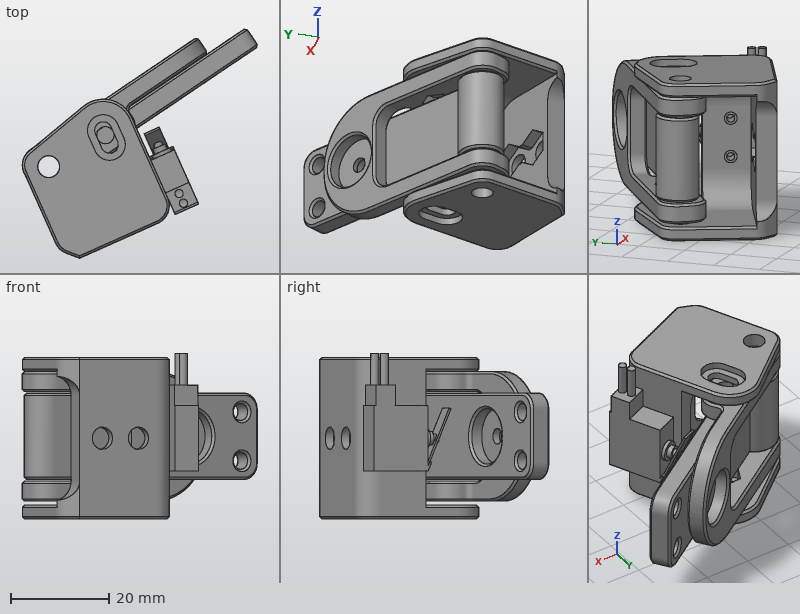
import cadquery as cq
import math

HOUSING_ANGLE = 24.1
ARM_ANGLE = 34.0

BEND_RADIUS = 3.9
EDGE_CHAMFER = 0.5
BARREL_RADIUS = 4.95
PIN_HOLE_DIAMETER = 4.4
PIVOT_HOLE_DIAMETER = 3.5
LEAF_MID_Z = 0.4

HOUSING_HEIGHT = 32.9
HOUSING_LEFT = -5.05
HOUSING_SIDE = 19.5
HOUSING_FRONT = -19.6
FLANGE_INNER_Z = 13.55
FRONT_WALL_INNER = -15.3
SIDE_WALL_INNER = 16.0
SIDE_WALL_END = -5.4
SIDE_WALL_FILLET = 6.9
HINGE_CORNER_RADIUS = 3.55
HINGE_CORNER_PLACE = 1.05
SLOT_CORNER_RADIUS = 6.35
NOTCH_END = -1.85
CORNER_CUT = NOTCH_END - HOUSING_LEFT
NOTCH_HALF_HEIGHT = 12.65

SLOT_CENTRE = (13.15, 0.6)
SLOT_HALF_TRAVEL = 1.6
SLOT_RECESS_WIDTH = 6.4
SLOT_RECESS_DEPTH = 1.45

MOUNT_HOLE_DIAMETER = 4.5
MOUNT_HOLE_FIRST = 3.2
MOUNT_HOLE_SPACING = 8.05
MOUNT_NUT_CORNERS = 8.05
NUT_DEPTH = 2.5
BOSS_HOLE_DIAMETER = 2.6
BOSS_HOLE_SPACING = 8.05
BOSS_HOLE_PLACE = -11.2

YOKE_HALF_HEIGHT = FLANGE_INNER_Z - LEAF_MID_Z
YOKE_HALF_WIDTH = BARREL_RADIUS
YOKE_END = 39.75
YOKE_END_RADIUS = 12.6
YOKE_BACK = 1.0
EAR_END = 19.8
EAR_INNER_FILLET = 1.2
OPENING_HALF_HEIGHT = 9.1
OPENING_END = 25.35
OPENING_CORNER_RADIUS = 3.5
PIVOT_HOLE_CENTRE = (13.15, -1.15)
PIVOT_NUT_CORNERS = 6.7

LEAF_HALF_HEIGHT = 8.8
LEAF_FRONT = 0.95
LEAF_BACK = -3.6
LEAF_END = 49.1
LEAF_CORNER_RADIUS = 3.35
LEAF_HOLE_DIAMETER = 3.5
LEAF_HOLE_PLACE = 44.95
LEAF_HOLE_SPACING = 9.95

MAGNET_DIAMETER = 11.35
MAGNET_PLACE = 32.25
MAGNET_DEPTH = 2.9
MAGNET_SCREW_DIAMETER = 3.15

SWITCH_WIDTH = 5.25
SWITCH_HALF_HEIGHT = 6.65
SWITCH_FRONT = -19.4
SWITCH_BACK = -7.3
TERMINAL_FRONT = -18.95
TERMINAL_BACK = -14.58
TERMINAL_TOP = 10.8
LEAD_DIAMETER = 1.65
LEAD_TOP = 17.25
LEAD_PLACES = ((22.0, -15.8), (22.0, -17.95))
LEAD_RECESS_DEPTH = 0.15
PLUNGER_STEPS = ((2.1, -6.55), (1.4, -5.45), (0.9, -4.1))
BOSS_BORE_DIAMETER = 1.62
LEVER_WIDTH = 3.35
LEVER_TOP_Z = 5.95
LEVER_TIP = -1.8
LEVER_THICKNESS = 0.45
LEVER_BASE_LENGTH = 0.75


def point_on_circle(centre, radius, angle):
    return (
        centre[0] + radius * math.cos(angle),
        centre[1] + radius * math.sin(angle),
    )


def box(x_range, y_range, z_range):
    """A box between the given limits along each axis."""
    size = [high - low for low, high in (x_range, y_range, z_range)]
    corner = (x_range[0], y_range[0], z_range[0])
    return cq.Workplane("XY").box(*size, centered=False).translate(corner)


def chamfer_outline_edges(body):
    """Chamfer every edge except the straight ones along Z and along Y."""
    return body.edges("not (|Z or |Y)").chamfer(EDGE_CHAMFER)


def housing_outline(bottom, top):
    """The housing's outline between two heights, with both rims chamfered."""
    hinge_corner = (HOUSING_LEFT + HINGE_CORNER_RADIUS, HINGE_CORNER_PLACE)
    slot_corner = (HOUSING_SIDE - SLOT_CORNER_RADIUS, SLOT_CENTRE[1] + SLOT_HALF_TRAVEL)
    dx = slot_corner[0] - hinge_corner[0]
    dy = slot_corner[1] - hinge_corner[1]
    radius_gain = SLOT_CORNER_RADIUS - HINGE_CORNER_RADIUS
    tangent = math.pi / 2 + math.atan2(dy, dx) + math.asin(radius_gain / math.hypot(dx, dy))
    cut_bend = BEND_RADIUS * math.tan(math.pi / 8)
    cut_start = HOUSING_FRONT + CORNER_CUT
    cut_step = cut_bend * math.cos(math.pi / 4)
    return (
        cq.Workplane("XY", origin=(0, 0, bottom))
        .moveTo(NOTCH_END, HOUSING_FRONT)
        .lineTo(HOUSING_SIDE - BEND_RADIUS, HOUSING_FRONT)
        .tangentArcPoint((HOUSING_SIDE, HOUSING_FRONT + BEND_RADIUS), relative=False)
        .lineTo(HOUSING_SIDE, slot_corner[1])
        .tangentArcPoint(point_on_circle(slot_corner, SLOT_CORNER_RADIUS, tangent), relative=False)
        .lineTo(*point_on_circle(hinge_corner, HINGE_CORNER_RADIUS, tangent))
        .tangentArcPoint((HOUSING_LEFT, hinge_corner[1]), relative=False)
        .lineTo(HOUSING_LEFT, cut_start + cut_bend)
        .tangentArcPoint((HOUSING_LEFT + cut_step, cut_start - cut_step), relative=False)
        .close()
        .extrude(top - bottom)
        .faces("<Z or >Z")
        .chamfer(EDGE_CHAMFER)
    )


def housing_walls():
    """The front wall and the side wall, which curves into the flanges."""
    far = 2 * HOUSING_SIDE
    half_height = HOUSING_HEIGHT / 2
    outline = housing_outline(-half_height, half_height)
    heights = (-half_height, half_height)
    front = box((-far, far), (-far, FRONT_WALL_INNER), heights)
    side = box((SIDE_WALL_INNER - SIDE_WALL_FILLET, far), (-far, SIDE_WALL_END), heights)
    cavity = box(
        (-far, SIDE_WALL_INNER),
        (FRONT_WALL_INNER, far),
        (-FLANGE_INNER_Z, FLANGE_INNER_Z),
    ).edges(">X and |Y").fillet(SIDE_WALL_FILLET)
    return outline.intersect(front.union(side)).cut(cavity)


def housing_notch():
    """A round-cornered opening in the left end of the front wall."""
    far = 2 * HOUSING_SIDE
    return box(
        (-far, NOTCH_END),
        (-far, FRONT_WALL_INNER),
        (-NOTCH_HALF_HEIGHT, NOTCH_HALF_HEIGHT),
    ).edges(">X and |Y").fillet(BEND_RADIUS)


def flange_slot(width, height, top):
    """An upright slot-shaped cutter that ends at the given height."""
    return (
        cq.Workplane("XY", origin=(*SLOT_CENTRE, top))
        .slot2D(2 * SLOT_HALF_TRAVEL + width, width, 90)
        .extrude(-height)
    )


def front_holes():
    """Two mounting holes with nut pockets in the inner face of the front wall."""
    places = [(MOUNT_HOLE_FIRST + i * MOUNT_HOLE_SPACING, 0) for i in range(2)]
    holes = (
        cq.Workplane("XZ", origin=(0, FRONT_WALL_INNER, 0))
        .pushPoints(places)
        .circle(MOUNT_HOLE_DIAMETER / 2)
        .extrude(FRONT_WALL_INNER - HOUSING_FRONT)
    )
    for x, z in places:
        nut = (
            cq.Workplane("XZ", origin=(x, FRONT_WALL_INNER, z))
            .transformed(rotate=(0, 0, 90))
            .polygon(6, MOUNT_NUT_CORNERS)
            .extrude(NUT_DEPTH)
        )
        holes = holes.union(nut)
    side_length = MOUNT_NUT_CORNERS / 2
    channel = box(
        (MOUNT_HOLE_FIRST, MOUNT_HOLE_FIRST + MOUNT_HOLE_SPACING),
        (FRONT_WALL_INNER - NUT_DEPTH, FRONT_WALL_INNER),
        (-side_length / 2, side_length / 2),
    )
    return holes.union(channel)


def switch_bosses(diameter):
    """Two round bars that cross the side wall; they cut its holes and fill them as bosses."""
    return (
        cq.Workplane("YZ", origin=(SIDE_WALL_INNER, 0, 0))
        .pushPoints([(BOSS_HOLE_PLACE, side * BOSS_HOLE_SPACING / 2) for side in (-1, 1)])
        .circle(diameter / 2)
        .extrude(HOUSING_SIDE - SIDE_WALL_INNER)
    )


def make_housing():
    half_height = HOUSING_HEIGHT / 2
    flange = housing_outline(FLANGE_INNER_Z, half_height)
    body = housing_walls().union(flange).union(flange.mirror("XY"))
    body = body.cut(housing_notch()).cut(front_holes()).cut(switch_bosses(BOSS_HOLE_DIAMETER))
    pin_hole = cq.Workplane("XY").circle(PIN_HOLE_DIAMETER / 2).extrude(half_height, both=True)
    slots = flange_slot(PIVOT_HOLE_DIAMETER, HOUSING_HEIGHT, half_height)
    upper_recess = flange_slot(SLOT_RECESS_WIDTH, SLOT_RECESS_DEPTH, half_height)
    lower_recess = upper_recess.mirror("XY")
    return body.cut(pin_hole).cut(slots).cut(upper_recess).cut(lower_recess)


def yoke_profile():
    """The yoke's outline across the hinge axis: wide ears, thinner arm."""
    w = YOKE_HALF_WIDTH
    inner = w - BEND_RADIUS
    return (
        cq.Workplane("XY")
        .moveTo(-inner, w)
        .lineTo(YOKE_END, w)
        .lineTo(YOKE_END, YOKE_BACK)
        .lineTo(EAR_END + EAR_INNER_FILLET, YOKE_BACK)
        .tangentArcPoint((EAR_END, YOKE_BACK - EAR_INNER_FILLET), relative=False)
        .lineTo(EAR_END, -inner)
        .tangentArcPoint((EAR_END - BEND_RADIUS, -w), relative=False)
        .lineTo(-inner, -w)
        .tangentArcPoint((-w, -inner), relative=False)
        .lineTo(-w, inner)
        .tangentArcPoint((-inner, w), relative=False)
        .close()
        .extrude(YOKE_HALF_HEIGHT, both=True)
    )


def yoke_face():
    """The yoke's outline along its arm, with a wide round end."""
    return box(
        (-2 * YOKE_HALF_WIDTH, YOKE_END),
        (-2 * YOKE_HALF_WIDTH, 2 * YOKE_HALF_WIDTH),
        (-YOKE_HALF_HEIGHT, YOKE_HALF_HEIGHT),
    ).edges(">X and |Y").fillet(YOKE_END_RADIUS)


def yoke_opening():
    return box(
        (-2 * YOKE_HALF_WIDTH, OPENING_END),
        (-2 * YOKE_HALF_WIDTH, 2 * YOKE_HALF_WIDTH),
        (-OPENING_HALF_HEIGHT, OPENING_HALF_HEIGHT),
    ).edges(">X and |Y").fillet(OPENING_CORNER_RADIUS)


def upright_hole(diameter, centre):
    return (
        cq.Workplane("XY")
        .center(*centre)
        .circle(diameter / 2)
        .extrude(YOKE_HALF_HEIGHT, both=True)
    )


def ear_nut_pockets():
    """Nut pockets in the inner faces of both ears."""
    return (
        cq.Workplane("XY")
        .center(*PIVOT_HOLE_CENTRE)
        .transformed(rotate=(0, 0, 90))
        .polygon(6, PIVOT_NUT_CORNERS)
        .extrude(OPENING_HALF_HEIGHT + NUT_DEPTH, both=True)
    )


def cross_hole(diameter, x, z, y_start, y_end):
    """A round cutter along Y between two places."""
    return (
        cq.Workplane("XZ", origin=(x, y_start, z))
        .circle(diameter / 2)
        .extrude(y_start - y_end)
    )


def chamfered_mouth(diameter, x, z, y, inward):
    """A conical cutter that chamfers the mouth of a hole; inward is the sign along Y."""
    direction = cq.Vector(0, inward, 0)
    cone = cq.Solid.makeCone(
        diameter / 2 + EDGE_CHAMFER, diameter / 2, EDGE_CHAMFER, cq.Vector(x, y, z), direction
    )
    return cq.Workplane(cone)


def cut_magnet_pocket(body, face, inward):
    """Cut a chamfered magnet pocket in a face, and a screw hole in its middle."""
    floor = face + inward * MAGNET_DEPTH
    through = face + inward * 2 * MAGNET_DEPTH
    body = body.cut(cross_hole(MAGNET_DIAMETER, MAGNET_PLACE, 0, face, floor))
    body = body.cut(chamfered_mouth(MAGNET_DIAMETER, MAGNET_PLACE, 0, face, inward))
    return body.cut(cross_hole(MAGNET_SCREW_DIAMETER, MAGNET_PLACE, 0, face, through))


def make_yoke():
    body = yoke_profile().intersect(yoke_face()).cut(yoke_opening())
    body = chamfer_outline_edges(body)
    body = body.cut(upright_hole(PIN_HOLE_DIAMETER, (0, 0)))
    body = body.cut(upright_hole(PIVOT_HOLE_DIAMETER, PIVOT_HOLE_CENTRE))
    body = body.cut(ear_nut_pockets())
    return cut_magnet_pocket(body, YOKE_HALF_WIDTH, -1)


def leaf_profile():
    """A plate whose end wraps into the barrel and bends back to the plate's back face."""
    crease = (math.sqrt(BARREL_RADIUS**2 - LEAF_FRONT**2), LEAF_FRONT)
    bend_y = LEAF_BACK + BEND_RADIUS
    bend_x = -math.sqrt((BARREL_RADIUS - BEND_RADIUS) ** 2 - bend_y**2)
    meeting = point_on_circle((0, 0), BARREL_RADIUS, math.atan2(bend_y, bend_x))
    return (
        cq.Workplane("XY")
        .moveTo(LEAF_END, LEAF_FRONT)
        .lineTo(*crease)
        .threePointArc((0, BARREL_RADIUS), meeting)
        .tangentArcPoint((bend_x, LEAF_BACK), relative=False)
        .lineTo(LEAF_END, LEAF_BACK)
        .close()
        .extrude(LEAF_HALF_HEIGHT, both=True)
        .edges(">X and |Y")
        .fillet(LEAF_CORNER_RADIUS)
    )


def make_leaf():
    body = chamfer_outline_edges(leaf_profile())
    body = body.cut(upright_hole(PIN_HOLE_DIAMETER, (0, 0)))
    for side in (-1, 1):
        z = side * LEAF_HOLE_SPACING / 2
        body = body.cut(cross_hole(LEAF_HOLE_DIAMETER, LEAF_HOLE_PLACE, z, LEAF_FRONT, LEAF_BACK))
        for face, inward in ((LEAF_FRONT, -1), (LEAF_BACK, 1)):
            body = body.cut(chamfered_mouth(LEAF_HOLE_DIAMETER, LEAF_HOLE_PLACE, z, face, inward))
    return cut_magnet_pocket(body, LEAF_BACK, 1)


def switch_lever():
    """A leaning strip from the foot of the switch past the plunger tip, with a wide foot."""
    start = (SWITCH_BACK, -SWITCH_HALF_HEIGHT)
    run = LEVER_TIP - SWITCH_BACK
    rise = LEVER_TOP_Z + SWITCH_HALF_HEIGHT
    length = math.hypot(run, rise)
    thickness = (LEVER_THICKNESS * rise / length, -LEVER_THICKNESS * run / length)
    middle = HOUSING_SIDE + SWITCH_WIDTH / 2

    def strip(share, width):
        end = (start[0] + share * run, start[1] + share * rise)
        return (
            cq.Workplane("YZ", origin=(middle, 0, 0))
            .moveTo(*start)
            .lineTo(*end)
            .lineTo(end[0] - thickness[0], end[1] - thickness[1])
            .lineTo(start[0] - thickness[0], start[1] - thickness[1])
            .close()
            .extrude(width / 2, both=True)
        )

    return strip(1, LEVER_WIDTH).union(strip(LEVER_BASE_LENGTH / run, SWITCH_WIDTH))


def switch_lead(place):
    """An upright round lead with a shallow dish in its end."""
    lead_radius = LEAD_DIAMETER / 2
    dish_radius = (lead_radius**2 + LEAD_RECESS_DEPTH**2) / (2 * LEAD_RECESS_DEPTH)
    dish_height = LEAD_TOP - LEAD_RECESS_DEPTH + dish_radius
    dish = cq.Workplane("XY").sphere(dish_radius).translate((*place, dish_height))
    lead = cq.Workplane("XY", origin=(*place, 0)).circle(lead_radius).extrude(LEAD_TOP)
    return lead.cut(dish)


def make_switch():
    outer = HOUSING_SIDE + SWITCH_WIDTH
    middle = HOUSING_SIDE + SWITCH_WIDTH / 2
    sides = (HOUSING_SIDE, outer)
    body = box(sides, (SWITCH_FRONT, SWITCH_BACK), (-SWITCH_HALF_HEIGHT, SWITCH_HALF_HEIGHT))
    body = body.union(box(sides, (TERMINAL_FRONT, TERMINAL_BACK), (0, TERMINAL_TOP)))
    for place in LEAD_PLACES:
        body = body.union(switch_lead(place))
    for radius, tip in PLUNGER_STEPS:
        step = (
            cq.Workplane("XZ", origin=(middle, SWITCH_BACK, 0))
            .circle(radius)
            .extrude(SWITCH_BACK - tip)
        )
        body = body.union(step)
    body = body.union(switch_bosses(BOSS_HOLE_DIAMETER)).cut(switch_bosses(BOSS_BORE_DIAMETER))
    return body.union(switch_lever())


def turned(body, angle, z=0):
    return body.rotate((0, 0, 0), (0, 0, 1), angle).translate((0, 0, z)).solids()


housing = turned(make_housing(), HOUSING_ANGLE)
yoke = turned(make_yoke(), ARM_ANGLE, LEAF_MID_Z)
leaf = turned(make_leaf(), ARM_ANGLE, LEAF_MID_Z)
switch = turned(make_switch(), HOUSING_ANGLE)

result = cq.Compound.makeCompound([housing.val(), yoke.val(), leaf.val(), switch.val()])